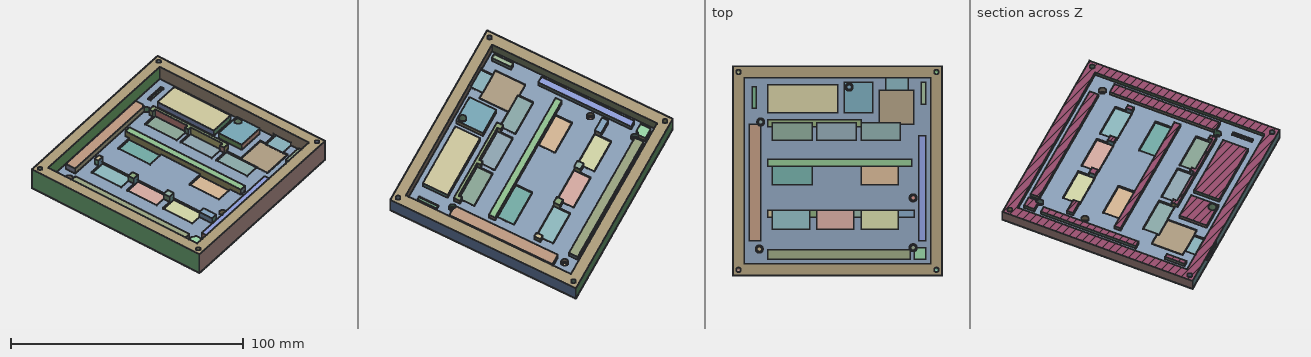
import cadquery as cq
import math

SIZE = 90.0
HEIGHT = 11.0
WALL = 5.0
FLOOR = 4.0
CAVITY = SIZE - 2 * WALL

RAISED_HEIGHT = 3.0
POCKET_DEPTH = 1.0
RAISED_TOP = FLOOR + RAISED_HEIGHT
POCKET_FLOOR = FLOOR - POCKET_DEPTH
CONNECTOR_POCKET_DEPTH = 0.5

CORNER_HOLE_DIAMETER = 2.0
CORNER_HOLE_DEPTH = 8.0
CORNER_HOLE_INSET = WALL / 2
DRILL_TIP_ANGLE = 118.0

MOUNT_HOLE_DIAMETER = 2.2
MOUNT_HOLE_BOTTOM = 0.5
COUNTERBORE_DIAMETER = 3.2
COUNTERBORE_BOTTOM = 1.0
MOUNT_HOLES = [(45.0, 76.0), (7.0, 61.0), (6.4, 6.4), (72.5, 7.0), (72.5, 28.4)]

CHANNEL_LEFT = 60.8
CHANNEL_RIGHT = 70.4
OPENING_HEIGHT = 1.5
OPENING_TOP = FLOOR + OPENING_HEIGHT

LARGE_BLOCK = (10.0, 40.2, 65.0, 77.0)
SQUARE_BLOCK = (42.8, 55.2, 65.0, 78.0)
LEFT_BAR = (2.0, 7.0, 10.0, 60.0)
RIGHT_BAR = (75.0, 78.0, 10.0, 55.0)
BACK_RIGHT_BAR = (76.0, 78.0, 68.7, 78.0)
FRONT_BAR = (10.0, 71.2, 2.0, 6.2)
FRONT_RIGHT_BLOCK = (73.0, 78.0, 2.0, 7.0)
BACK_RIB = (10.0, 50.2, 59.0, 62.0)
MIDDLE_RIB = (10.0, 72.0, 42.0, 45.0)
FRONT_RIB = (10.0, 73.0, 20.0, 23.0)
RAISED = [LARGE_BLOCK, SQUARE_BLOCK, LEFT_BAR, RIGHT_BAR, BACK_RIGHT_BAR, FRONT_BAR,
          FRONT_RIGHT_BLOCK, BACK_RIB, MIDDLE_RIB, FRONT_RIB]

CONNECTOR_POCKET = (58.0, 72.7, 60.0, 74.6)
BACK_LEFT_SLOT = (3.4, 5.0, 66.8, 76.2)

POCKET_ROWS = [
    (53.2, 60.7, [(12.0, 29.2), (31.0, 48.0), (50.2, 67.0)]),
    (34.0, 42.0, [(12.0, 29.2), (50.2, 66.2)]),
    (15.0, 23.0, [(12.0, 28.0), (31.0, 47.0), (50.2, 66.2)]),
]


def box(rectangle, z_min, z_max):
    """Upright box over a rectangle given in cavity coordinates."""
    x_min, x_max, y_min, y_max = rectangle
    solid = cq.Workplane("XY").box(x_max - x_min, y_max - y_min, z_max - z_min, centered=False)
    return solid.translate((x_min - CAVITY / 2, y_min - CAVITY / 2, z_min))


def cylinder(x, y, diameter, z_min, z_max):
    """Upright cylinder at a point given in cavity coordinates."""
    solid = cq.Workplane("XY").circle(diameter / 2).extrude(z_max - z_min)
    return solid.translate((x - CAVITY / 2, y - CAVITY / 2, z_min))


def tray():
    outer = cq.Workplane("XY").box(SIZE, SIZE, HEIGHT, centered=(True, True, False))
    return outer.cut(box((0, CAVITY, 0, CAVITY), FLOOR, HEIGHT))


def add_raised_blocks(body):
    for rectangle in RAISED:
        body = body.union(box(rectangle, FLOOR, RAISED_TOP))
    return body


def cut_pockets(body):
    body = body.cut(box(CONNECTOR_POCKET, FLOOR - CONNECTOR_POCKET_DEPTH, FLOOR))
    body = body.cut(box(BACK_LEFT_SLOT, POCKET_FLOOR, FLOOR))
    for y_min, y_max, spans in POCKET_ROWS:
        for x_min, x_max in spans:
            body = body.cut(box((x_min, x_max, y_min, y_max), POCKET_FLOOR, RAISED_TOP))
    return body


def cut_wall_opening(body):
    pocket_back = CONNECTOR_POCKET[3]
    channel = (CHANNEL_LEFT, CHANNEL_RIGHT, pocket_back, CAVITY + WALL)
    return body.cut(box(channel, POCKET_FLOOR, OPENING_TOP))


def cut_corner_holes(body):
    radius = CORNER_HOLE_DIAMETER / 2
    shoulder = HEIGHT - CORNER_HOLE_DEPTH
    tip = shoulder - radius / math.tan(math.radians(DRILL_TIP_ANGLE / 2))
    profile = [(0, HEIGHT), (radius, HEIGHT), (radius, shoulder), (0, tip)]
    hole = cq.Workplane("XZ").polyline(profile).close().revolve(360, (0, 0), (0, 1))
    reach = SIZE / 2 - CORNER_HOLE_INSET
    for x in (-reach, reach):
        for y in (-reach, reach):
            body = body.cut(hole.translate((x, y, 0)))
    return body


def cut_mounting_holes(body):
    for x, y in MOUNT_HOLES:
        body = body.cut(cylinder(x, y, MOUNT_HOLE_DIAMETER, MOUNT_HOLE_BOTTOM, FLOOR))
        body = body.cut(cylinder(x, y, COUNTERBORE_DIAMETER, COUNTERBORE_BOTTOM, RAISED_TOP))
    return body


result = tray()
result = add_raised_blocks(result)
result = cut_pockets(result)
result = cut_wall_opening(result)
result = cut_corner_holes(result)
result = cut_mounting_holes(result)